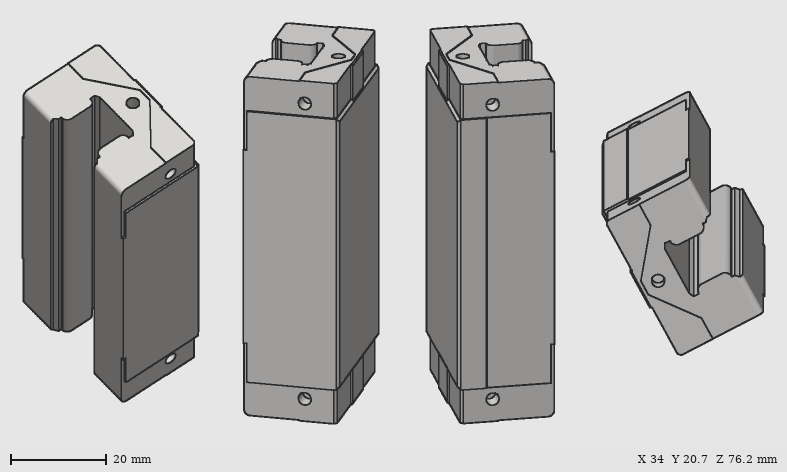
import cadquery as cq

LENGTH = 76.2
WIDTH = 34.0
DEPTH = 20.7

BLOCK_END_GAP = 7.8
BLOCK_CHAMFER = 0.6
SIDE_STEP_Y = 14.6
SIDE_STEP = 0.2

CAP_WIDTH = 32.9
CAP_DEPTH = 20.05
CAP_CHAMFER = 0.6
CAP_PAD_WIDTH = 8.85
CAP_PAD_DEPTH = 20.5
CAP_PAD_CHAMFER = 0.3
SEAL_RECESS = 0.15
SEAL_SHOULDER_Y = 12.0
SEAL_SHOULDER_X = 11.35
SEAL_PEAK_Y = 19.4
SEAL_PEAK_X = 1.7
SEAL_EDGE_RADIUS = 1.4

STRIP_HEIGHT = 0.8
STRIP_REACH = 16.45

MOUTH_HALF = 7.3
MOUTH_Y = 0.8
MOUTH_CHAMFER_HEIGHT = 0.7
POCKET_HALF = 6.5
NECK_HALF = 4.9
LEDGE_HALF = 6.1
LOWER_LEDGE_Y = 2.2
UPPER_LEDGE_Y = 10.0
FLANK_HEIGHT = 1.3
FLANK_RADIUS = 1.7
POCKET_TOP_Y = 11.2
ROOF_HALF = 5.5
ROOF_Y = 11.7

HOLE_DIAMETER = 2.75
HOLE_DEPTH = 3.8
END_HOLE_Y = 16.2
SIDE_HOLE_Y = 13.2
SIDE_HOLE_INSET = 5.0

HALF_LENGTH = LENGTH / 2
ENDS = (-1, 1)
SIDES = (-1, 1)


def box(x_size, y_min, y_max, z_size):
    """A box centred on X and Z."""
    return (
        cq.Workplane("XY")
        .box(x_size, y_max - y_min, z_size)
        .translate((0, (y_min + y_max) / 2, 0))
    )


def side_step(block_length):
    """The layer taken off the -X side, with a sloped upper edge."""
    face = -WIDTH / 2
    return (
        cq.Workplane("XY")
        .polyline([
            (face, 0),
            (face, SIDE_STEP_Y),
            (face + SIDE_STEP, SIDE_STEP_Y - SIDE_STEP),
            (face + SIDE_STEP, 0),
        ])
        .close()
        .extrude(block_length / 2, both=True)
    )


def block():
    """The steel body, with a chamfered back face and room for the seal strips."""
    block_length = LENGTH - 2 * BLOCK_END_GAP
    body = box(WIDTH, 0, DEPTH, block_length).faces(">Y").chamfer(BLOCK_CHAMFER)
    body = body.cut(side_step(block_length))
    strip_layer = box(WIDTH, 0, STRIP_HEIGHT, block_length)
    middle = box(WIDTH, 0, STRIP_HEIGHT, LENGTH - 2 * STRIP_REACH)
    return body.cut(strip_layer.cut(middle))


def seal_recess(end):
    """The thin layer removed from one end face, below the roof-shaped edge of the cap."""
    half = CAP_WIDTH / 2
    return (
        cq.Workplane("XY")
        .polyline([
            (-half, 0),
            (-half, SEAL_SHOULDER_Y),
            (-SEAL_SHOULDER_X, SEAL_SHOULDER_Y),
            (-SEAL_PEAK_X, SEAL_PEAK_Y),
            (SEAL_PEAK_X, SEAL_PEAK_Y),
            (SEAL_SHOULDER_X, SEAL_SHOULDER_Y),
            (half, SEAL_SHOULDER_Y),
            (half, 0),
        ])
        .close()
        .extrude(-end * SEAL_RECESS)
        .translate((0, 0, end * HALF_LENGTH))
    )


def caps():
    """Both end caps as one bar through the block."""
    bar = box(CAP_WIDTH, 0, CAP_DEPTH, LENGTH).edges("|Z and >Y").chamfer(CAP_CHAMFER)
    pad = box(CAP_PAD_WIDTH, CAP_DEPTH - CAP_CHAMFER, CAP_PAD_DEPTH, LENGTH)
    bar = bar.union(pad.edges("|X and >Y").chamfer(CAP_PAD_CHAMFER))
    for end in ENDS:
        bar = bar.cut(seal_recess(end))
    return bar.edges("|X and <Y").fillet(SEAL_EDGE_RADIUS)


def half_channel():
    """The +X half of the undercut channel, with rounded flanks beside the neck."""
    return (
        cq.Workplane("XY")
        .lineTo(MOUTH_HALF, 0)
        .lineTo(MOUTH_HALF, MOUTH_Y)
        .lineTo(POCKET_HALF, MOUTH_Y + MOUTH_CHAMFER_HEIGHT)
        .lineTo(POCKET_HALF, LOWER_LEDGE_Y)
        .lineTo(LEDGE_HALF, LOWER_LEDGE_Y)
        .radiusArc((NECK_HALF, LOWER_LEDGE_Y + FLANK_HEIGHT), FLANK_RADIUS)
        .lineTo(NECK_HALF, UPPER_LEDGE_Y - FLANK_HEIGHT)
        .radiusArc((LEDGE_HALF, UPPER_LEDGE_Y), FLANK_RADIUS)
        .lineTo(POCKET_HALF, UPPER_LEDGE_Y)
        .lineTo(POCKET_HALF, POCKET_TOP_Y)
        .lineTo(ROOF_HALF, ROOF_Y)
        .lineTo(0, ROOF_Y)
        .close()
        .extrude(HALF_LENGTH, both=True)
    )


def rail_channel():
    """The channel along the whole length."""
    half = half_channel()
    return half.union(half.mirror("YZ"))


def grease_holes():
    """One blind hole in each end face and two in each side."""
    radius = HOLE_DIAMETER / 2
    holes = []
    for end in ENDS:
        mouth = cq.Vector(0, END_HOLE_Y, end * HALF_LENGTH)
        holes.append(cq.Solid.makeCylinder(radius, HOLE_DEPTH, mouth, cq.Vector(0, 0, -end)))
        for side in SIDES:
            mouth = cq.Vector(side * CAP_WIDTH / 2, SIDE_HOLE_Y, end * (HALF_LENGTH - SIDE_HOLE_INSET))
            holes.append(cq.Solid.makeCylinder(radius, HOLE_DEPTH, mouth, cq.Vector(-side, 0, 0)))
    return holes


result = block().union(caps()).cut(rail_channel())
for hole in grease_holes():
    result = result.cut(cq.Workplane(hole))